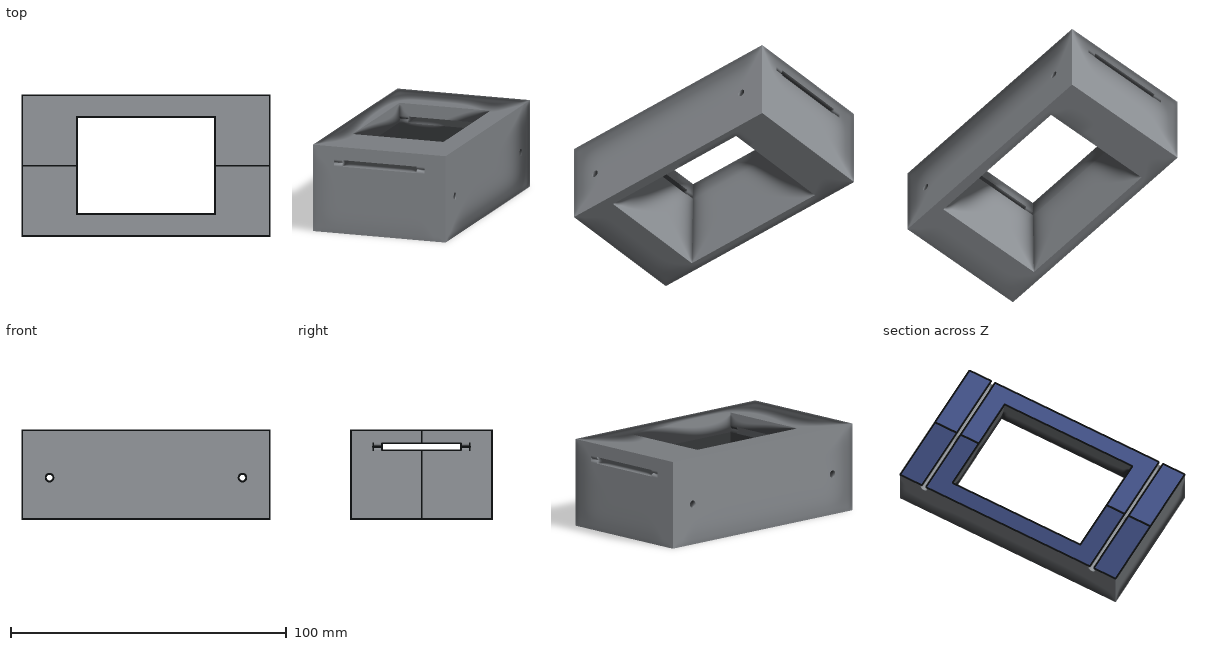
import cadquery as cq

LENGTH = 90.0
WIDTH = 51.2
HEIGHT = 32.3

OPENING_LENGTH = 50.0
OPENING_WIDTH = 35.1
FLARE = 4.4

SLOT_TOP = HEIGHT - 4.9
SLOT_HEIGHT = 2.4
SLOT_BOTTOM = SLOT_TOP - SLOT_HEIGHT
SLOT_MIDDLE = SLOT_TOP - SLOT_HEIGHT / 2
LIP_WIDTH = 3.2
SLIT_HEIGHT = 0.1
LIP_RADIUS = (SLOT_HEIGHT - SLIT_HEIGHT) / 2

BOLT_DIAMETER = 2.7
BOLT_HEIGHT = 15.0
END_WALL = (LENGTH - OPENING_LENGTH) / 2
BOLT_X = (LENGTH - END_WALL) / 2


def opening():
    """Straight neck above the slot floor and a pyramid-like flare below it."""
    neck = (
        cq.Workplane("XY")
        .workplane(offset=SLOT_BOTTOM)
        .rect(OPENING_LENGTH, OPENING_WIDTH)
        .extrude(HEIGHT - SLOT_BOTTOM)
    )
    flare = (
        cq.Workplane("XY")
        .rect(OPENING_LENGTH + 2 * FLARE, OPENING_WIDTH + 2 * FLARE)
        .workplane(offset=SLOT_BOTTOM)
        .rect(OPENING_LENGTH, OPENING_WIDTH)
        .loft(ruled=True)
    )
    return neck.union(flare)


def lip_slit(wall_x):
    """Thin slit through one end wall, with rounded lips at both mouths."""
    slit = cq.Workplane("XY").box(END_WALL, OPENING_WIDTH, SLIT_HEIGHT)
    for side in (-1, 1):
        mouth = side * END_WALL / 2
        throat = mouth - side * LIP_RADIUS
        corner = (1 - 0.5**0.5) * LIP_RADIUS
        for up in (-1, 1):
            edge = up * SLIT_HEIGHT / 2
            lip = (
                cq.Workplane("XZ")
                .moveTo(throat, edge)
                .threePointArc(
                    (mouth - side * corner, edge + up * corner),
                    (mouth, up * SLOT_HEIGHT / 2),
                )
                .lineTo(mouth, edge)
                .close()
                .extrude(OPENING_WIDTH / 2, both=True)
            )
            slit = slit.union(lip)
    return slit.translate((wall_x, 0, SLOT_MIDDLE))


def slot():
    """Open middle stretch of the slot, between the two narrowed ends."""
    return (
        cq.Workplane("XY")
        .box(LENGTH, OPENING_WIDTH - 2 * LIP_WIDTH, SLOT_HEIGHT)
        .translate((0, 0, SLOT_MIDDLE))
    )


def bolt_holes():
    return (
        cq.Workplane("XZ")
        .pushPoints([(-BOLT_X, BOLT_HEIGHT), (BOLT_X, BOLT_HEIGHT)])
        .circle(BOLT_DIAMETER / 2)
        .extrude(WIDTH / 2, both=True)
    )


def frame_half(side):
    """Half of the frame on the -Y (side = -1) or +Y (side = 1) side of the joint."""
    half = (
        cq.Workplane("XY")
        .box(LENGTH, WIDTH / 2, HEIGHT)
        .translate((0, side * WIDTH / 4, HEIGHT / 2))
    )
    half = half.cut(opening()).cut(slot()).cut(bolt_holes())
    for wall_x in (-BOLT_X, BOLT_X):
        half = half.cut(lip_slit(wall_x))
    return half


halves = [frame_half(side).val() for side in (-1, 1)]
result = cq.Compound.makeCompound(halves)